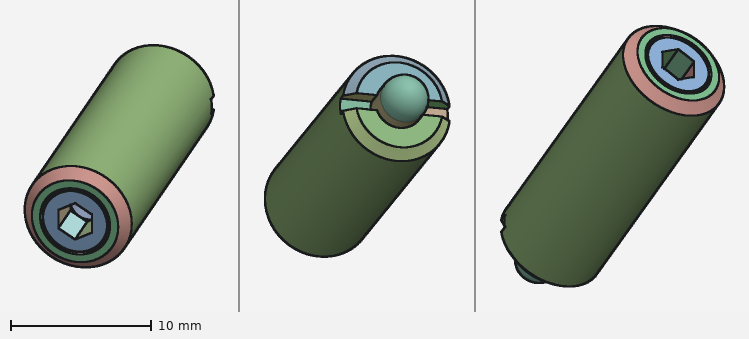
import cadquery as cq
import math

total_length = 25.0
body_diameter = 8.0
body_length = 22.0
end_chamfer = 0.78

pin_diameter = 3.5

slot_width = 1.15
slot_depth = 1.4

bore_diameter = 4.98
mouth_diameter = 5.22
plug_face_diameter = 4.78

hex_across_flats = 2.5
socket_depth = 3.0
drill_point_angle = 120.0


def make_body():
    """Chamfered cylinder from the plug end at Y = 0 to the pin end."""
    body = cq.Workplane("XZ").circle(body_diameter / 2).extrude(-body_length)
    return body.faces("<Y or >Y").chamfer(end_chamfer)


def make_slot():
    """Slot along X through the pin end of the body."""
    return cq.Workplane("XY").box(
        body_diameter, slot_depth, slot_width, centered=(True, False, True)
    ).translate((0, body_length - slot_depth, 0))


def make_pin():
    """Pin rising from the slot floor to its rounded nose."""
    radius = pin_diameter / 2
    nose_start = total_length - radius
    arc_offset = radius * math.sqrt(0.5)
    return (
        cq.Workplane("XY")
        .moveTo(0, body_length - slot_depth)
        .lineTo(radius, body_length - slot_depth)
        .lineTo(radius, nose_start)
        .threePointArc((arc_offset, nose_start + arc_offset), (0, total_length))
        .close()
        .revolve(360, (0, 0, 0), (0, 1, 0))
    )


def make_plug_groove():
    """V groove where the plug meets the bore, with 45 degree walls."""
    bore_radius = bore_diameter / 2
    mouth_radius = mouth_diameter / 2
    groove_depth = mouth_radius - bore_radius
    return (
        cq.Workplane("XY")
        .polyline([(plug_face_diameter / 2, 0), (mouth_radius, 0), (bore_radius, groove_depth)])
        .close()
        .revolve(360, (0, 0, 0), (0, 1, 0))
    )


def make_hex_socket():
    """Hexagon with corners along Z, deepened by a cone as wide as its flats."""
    corner_diameter = hex_across_flats / math.cos(math.pi / 6)
    hexagon = (
        cq.Workplane("XZ")
        .transformed(rotate=(0, 0, 90))
        .polygon(6, corner_diameter)
        .extrude(-socket_depth)
    )
    radius = hex_across_flats / 2
    cone_depth = radius / math.tan(math.radians(drill_point_angle / 2))
    cone = (
        cq.Workplane("XY")
        .polyline([(0, socket_depth), (radius, socket_depth), (0, socket_depth + cone_depth)])
        .close()
        .revolve(360, (0, 0, 0), (0, 1, 0))
    )
    return hexagon.union(cone)


body = make_body().cut(make_slot()).union(make_pin())
result = body.cut(make_plug_groove()).cut(make_hex_socket())